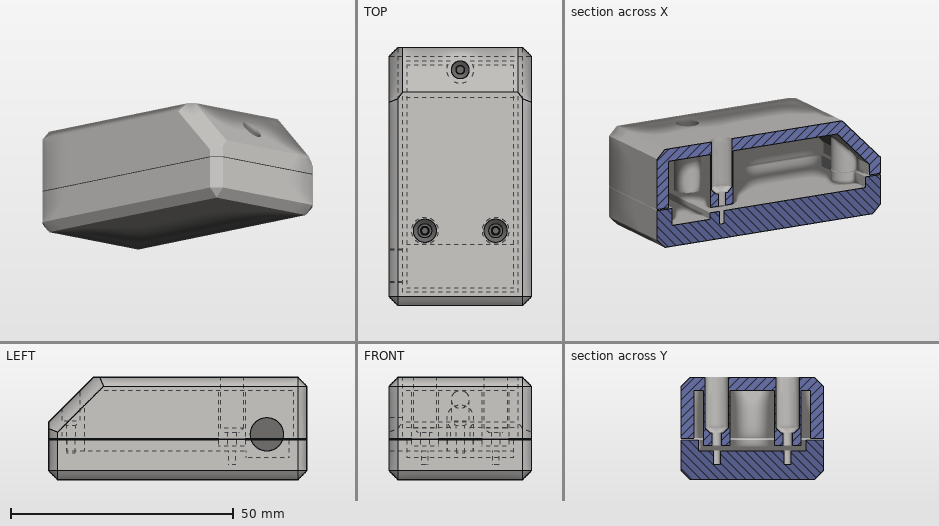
import cadquery as cq
import math

LENGTH = 58.0
WIDTH = 32.0
HEIGHT = 23.0
EDGE_CHAMFER = 2.05
SLOPE_LEG = 10.05
SLOPE_SIDE_CHAMFER = 3.1

BASE_HEIGHT = 9.0
SPLIT_GAP = 0.2
LID_BOTTOM = BASE_HEIGHT + SPLIT_GAP

LID_WALL = 3.0
BASE_WALL = 4.0
BASE_FLOOR = 5.0
STEP_RISE = 1.5
STEP_Y = -15.3
STEP_TOP = BASE_FLOOR + STEP_RISE

CABLE_DIAMETER = 7.5
CABLE_Y = -20.0
CABLE_Z = 10.2

CLEARANCE_DIAMETER = 2.0
REAR_SCREW_X = 7.95
REAR_SCREW_Y = -12.2
REAR_HEAD_DIAMETER = 5.2
REAR_SEAT_DIAMETER = 3.15
REAR_PILOT_DIAMETER = 1.5
REAR_BOSS_DIAMETER = 6.05
REAR_BOSS_BOTTOM = 7.6
FRONT_SCREW_Y = 23.95
FRONT_HEAD_DIAMETER = 4.0
FRONT_PILOT_DIAMETER = 1.8
FRONT_BOSS_DIAMETER = 6.05
SEAT_THICKNESS = 3.0
PILOT_DEPTH = 3.0

REAR_SCREWS = [(-REAR_SCREW_X, REAR_SCREW_Y), (REAR_SCREW_X, REAR_SCREW_Y)]
FRONT_SCREW = (0, FRONT_SCREW_Y)


def cylinder(center, diameter, bottom, top):
    """Upright cylinder between two heights."""
    disc = cq.Workplane("XY", origin=(*center, bottom)).circle(diameter / 2)
    return disc.extrude(top - bottom)


def box_between(x_half, y_min, y_max, z_min, z_max):
    """Box centred on X, given by its Y and Z limits."""
    plate = cq.Workplane("XY", origin=(0, (y_min + y_max) / 2, z_min)).rect(2 * x_half, y_max - y_min)
    return plate.extrude(z_max - z_min)


def slope_envelope():
    """Long bar along the slope whose top is the slope face and its two side chamfers."""
    half = WIDTH / 2
    top_half = half - SLOPE_SIDE_CHAMFER
    bar_depth = 2 * LENGTH
    across_slope = cq.Plane(
        origin=(0, LENGTH / 2, HEIGHT - SLOPE_LEG),
        xDir=(1, 0, 0),
        normal=(0, -1, 1),
    )
    return (
        cq.Workplane(across_slope)
        .moveTo(-top_half, 0)
        .lineTo(top_half, 0)
        .lineTo(half, -SLOPE_SIDE_CHAMFER)
        .lineTo(half, -bar_depth)
        .lineTo(-half, -bar_depth)
        .lineTo(-half, -SLOPE_SIDE_CHAMFER)
        .close()
        .extrude(LENGTH, both=True)
    )


def outer_shell():
    """Chamfered block with the sloped +Y end, before it is split and hollowed."""
    block = box_between(WIDTH / 2, -LENGTH / 2, LENGTH / 2, 0, HEIGHT)
    return block.edges().chamfer(EDGE_CHAMFER).intersect(slope_envelope())


def lid_cavity():
    """Hollow of the lid: one wall thickness inside the shell, slope included."""
    y_end = LENGTH / 2 - LID_WALL
    ceiling = HEIGHT - LID_WALL
    slope_foot = HEIGHT - SLOPE_LEG + LID_WALL - LID_WALL * math.sqrt(2)
    return (
        cq.Workplane("YZ")
        .moveTo(-y_end, LID_BOTTOM)
        .lineTo(y_end, LID_BOTTOM)
        .lineTo(y_end, slope_foot)
        .lineTo(y_end - (ceiling - slope_foot), ceiling)
        .lineTo(-y_end, ceiling)
        .close()
        .extrude(WIDTH / 2 - LID_WALL, both=True)
    )


def base_cavity():
    """Hollow of the base, with a floor that steps up towards +Y."""
    x_half = WIDTH / 2 - BASE_WALL
    y_end = LENGTH / 2 - BASE_WALL
    low_part = box_between(x_half, -y_end, STEP_Y, BASE_FLOOR, BASE_HEIGHT)
    raised_part = box_between(x_half, STEP_Y, y_end, STEP_TOP, BASE_HEIGHT)
    return low_part.union(raised_part)


def cable_hole():
    """Round hole through the -X wall, shared by the lid and the base."""
    start = cq.Workplane("YZ", origin=(-WIDTH / 2, 0, 0))
    return start.center(CABLE_Y, CABLE_Z).circle(CABLE_DIAMETER / 2).extrude(BASE_WALL)


def screw_hole(center, head_diameter, seat_diameter, seat_z):
    """Clearance hole, 90 degree cone and head bore, open upwards."""
    cone_top = seat_z + (head_diameter - seat_diameter) / 2
    cone = (
        cq.Workplane("XY", origin=(*center, cone_top))
        .circle(head_diameter / 2)
        .workplane(offset=seat_z - cone_top)
        .circle(seat_diameter / 2)
        .loft()
    )
    clearance = cylinder(center, CLEARANCE_DIAMETER, 0, seat_z)
    head_bore = cylinder(center, head_diameter, cone_top, HEIGHT)
    return clearance.union(cone).union(head_bore)


def make_lid():
    """Upper half with the three screw bosses."""
    shell = outer_shell()
    above_split = box_between(WIDTH / 2, -LENGTH / 2, LENGTH / 2, LID_BOTTOM, HEIGHT)
    lid = shell.intersect(above_split).cut(lid_cavity())

    for center in REAR_SCREWS:
        boss = cylinder(center, REAR_BOSS_DIAMETER, REAR_BOSS_BOTTOM, HEIGHT)
        lid = lid.union(boss.intersect(shell))
    front_boss = cylinder(FRONT_SCREW, FRONT_BOSS_DIAMETER, LID_BOTTOM, HEIGHT)
    lid = lid.union(front_boss.intersect(shell))

    rear_seat = REAR_BOSS_BOTTOM + SEAT_THICKNESS
    for center in REAR_SCREWS:
        lid = lid.cut(screw_hole(center, REAR_HEAD_DIAMETER, REAR_SEAT_DIAMETER, rear_seat))
    front_seat = LID_BOTTOM + SEAT_THICKNESS
    lid = lid.cut(screw_hole(FRONT_SCREW, FRONT_HEAD_DIAMETER, CLEARANCE_DIAMETER, front_seat))
    return lid.cut(cable_hole())


def make_base():
    """Lower half with the front screw post and the blind pilot holes."""
    below_split = box_between(WIDTH / 2, -LENGTH / 2, LENGTH / 2, 0, BASE_HEIGHT)
    base = outer_shell().intersect(below_split).cut(base_cavity())
    base = base.union(cylinder(FRONT_SCREW, FRONT_BOSS_DIAMETER, BASE_FLOOR, BASE_HEIGHT))

    for center in REAR_SCREWS:
        base = base.cut(cylinder(center, REAR_PILOT_DIAMETER, STEP_TOP - PILOT_DEPTH, STEP_TOP))
    front_pilot_bottom = BASE_HEIGHT - PILOT_DEPTH
    base = base.cut(cylinder(FRONT_SCREW, FRONT_PILOT_DIAMETER, front_pilot_bottom, BASE_HEIGHT))
    return base.cut(cable_hole())


lid = make_lid()
base = make_base()

result = cq.Compound.makeCompound([lid.solids().val(), base.solids().val()])